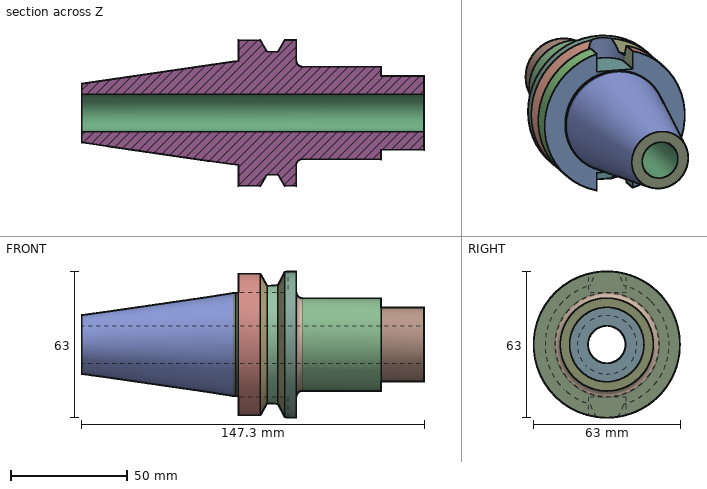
import cadquery as cq
import math


gauge_diameter = 44.45
taper_ratio = 7 / 24
taper_length = 65.4
taper_end_diameter = gauge_diameter - taper_length * taper_ratio

collar_start = 1.0
collar_diameter = 44.7

flange_diameter = 63.0
flange_start = 2.0
flange_end = 27.0
groove_center = 16.7
groove_floor_diameter = 53.2
groove_floor_width = 4.7
groove_wall_angle = 30.0
groove_depth = (flange_diameter - groove_floor_diameter) / 2
groove_wall_run = groove_depth * math.tan(math.radians(groove_wall_angle))
groove_mouth_width = groove_floor_width + 2 * groove_wall_run

body_diameter = 40.0
body_end = 63.4
body_fillet_radius = 2.5
nose_diameter = 32.0
nose_end = 81.9

bore_diameter = 16.0
slot_width = 16.1
slot_floor_height = 22.5
slot_tip = 23.2


def make_turned_body():
    """Revolve the outer half-profile about the X axis."""
    body_radius = body_diameter / 2
    flange_radius = flange_diameter / 2
    groove_floor_radius = groove_floor_diameter / 2
    fillet_center_x = flange_end + body_fillet_radius
    fillet_center_y = body_radius + body_fillet_radius
    fillet_offset = body_fillet_radius * math.cos(math.radians(45))
    profile = (
        cq.Workplane("XY")
        .moveTo(-taper_length, 0)
        .lineTo(-taper_length, taper_end_diameter / 2)
        .lineTo(0, gauge_diameter / 2)
        .lineTo(collar_start, gauge_diameter / 2)
        .lineTo(collar_start, collar_diameter / 2)
        .lineTo(flange_start, collar_diameter / 2)
        .lineTo(flange_start, flange_radius)
        .lineTo(groove_center - groove_mouth_width / 2, flange_radius)
        .lineTo(groove_center - groove_floor_width / 2, groove_floor_radius)
        .lineTo(groove_center + groove_floor_width / 2, groove_floor_radius)
        .lineTo(groove_center + groove_mouth_width / 2, flange_radius)
        .lineTo(flange_end, flange_radius)
        .lineTo(flange_end, fillet_center_y)
        .threePointArc(
            (fillet_center_x - fillet_offset, fillet_center_y - fillet_offset),
            (fillet_center_x, body_radius),
        )
        .lineTo(body_end, body_radius)
        .lineTo(body_end, nose_diameter / 2)
        .lineTo(nose_end, nose_diameter / 2)
        .lineTo(nose_end, 0)
        .close()
    )
    return profile.revolve(360, (0, 0, 0), (1, 0, 0))


def make_bore():
    """Through bore along the whole axis."""
    return (
        cq.Workplane("YZ", origin=(-taper_length, 0, 0))
        .circle(bore_diameter / 2)
        .extrude(taper_length + nose_end)
    )


def make_drive_slot():
    """Round-ended slot on the +Z side, open toward the taper."""
    half_width = slot_width / 2
    arc_start = slot_tip - half_width
    return (
        cq.Workplane("XY", origin=(0, 0, slot_floor_height))
        .moveTo(0, -half_width)
        .lineTo(arc_start, -half_width)
        .threePointArc((slot_tip, 0), (arc_start, half_width))
        .lineTo(0, half_width)
        .close()
        .extrude(flange_diameter / 2)
    )


result = make_turned_body().cut(make_bore())
for angle in (0, 180):
    result = result.cut(make_drive_slot().rotate((0, 0, 0), (1, 0, 0), angle))